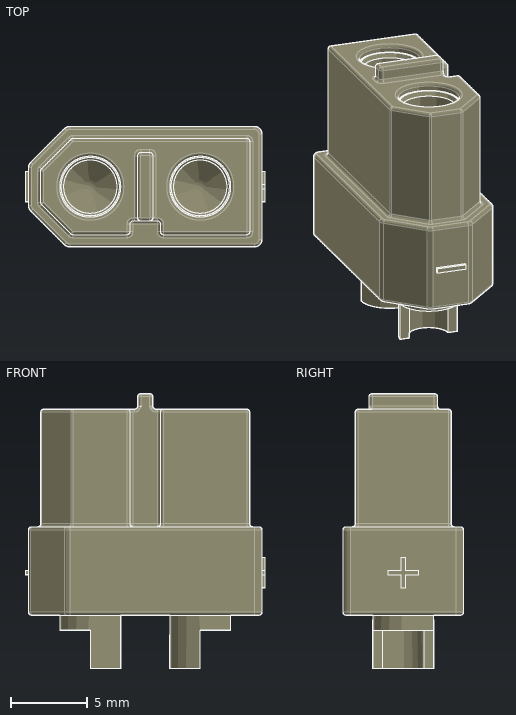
import cadquery as cq
import math

SHOULDER_Z = 2.5
BASE_BOTTOM_Z = 3.5
BASE_TOP_Z = 9.29
TOWER_TOP_Z = 17.0
RIB_TOP_Z = 18.0

BASE_LENGTH = 15.3
BASE_WIDTH = 7.9
BASE_CORNER_CUT = 2.5
TOWER_WIDTH = 6.3
LEDGE = (BASE_WIDTH - TOWER_WIDTH) / 2
TOWER_LENGTH = BASE_LENGTH - 2 * LEDGE
TOWER_CORNER_CUT = BASE_CORNER_CUT - LEDGE * (2 - math.sqrt(2))
BASE_CORNER_RADIUS = 0.5
EDGE_RADIUS = 0.2

RIB_LENGTH = 4.5
RIB_THICKNESS = 1.0
RIB_CORNER_RADIUS = 0.23
SLOT_WIDTH = 2.0
SLOT_BACK_Y = -RIB_LENGTH / 2

CONTACT_SPACING = 7.2
MOUTH_RADIUS = 2.0
MOUTH_DEPTH = 0.5
LEAD_IN_RADIUS = 1.9
LEAD_IN_DEPTH = 0.3
SOCKET_RADIUS = 1.75
SOCKET_FLOOR_Z = BASE_TOP_Z
DRILL_POINT_ANGLE = 118.0
PIN_RADIUS = 2.0
CUP_RADIUS = 1.35

MARK_LENGTH = 2.0
MARK_THICKNESS = 0.3
MARK_HEIGHT = 0.2
MARK_Z = 6.28

GAP = 0.02


def housing_block(length, width, corner_cut, bottom, top):
    """Block with both corners of its -X end cut at 45 degrees."""
    x = length / 2
    y = width / 2
    outline = [
        (x, -y),
        (x, y),
        (corner_cut - x, y),
        (-x, y - corner_cut),
        (-x, corner_cut - y),
        (corner_cut - x, -y),
    ]
    return cq.Workplane("XY").workplane(offset=bottom).polyline(outline).close().extrude(top - bottom)


def box_between(x0, x1, y0, y1, z0, z1):
    return cq.Workplane("XY").box(x1 - x0, y1 - y0, z1 - z0, centered=False).translate((x0, y0, z0))


def make_base():
    base = housing_block(BASE_LENGTH, BASE_WIDTH, BASE_CORNER_CUT, BASE_BOTTOM_Z, BASE_TOP_Z)
    base = base.edges("|Z").fillet(BASE_CORNER_RADIUS)
    return base.faces("<Z or >Z").edges().fillet(EDGE_RADIUS)


def make_rib():
    rib = box_between(
        -RIB_THICKNESS / 2, RIB_THICKNESS / 2, SLOT_BACK_Y, -SLOT_BACK_Y, TOWER_TOP_Z, RIB_TOP_Z
    )
    return rib.edges("|Z").fillet(RIB_CORNER_RADIUS).faces(">Z").edges().fillet(EDGE_RADIUS)


def make_tower():
    """Tower with its key slot and rib; the front of the rib is flush with the slot's back wall."""
    tower = housing_block(TOWER_LENGTH, TOWER_WIDTH, TOWER_CORNER_CUT, BASE_TOP_Z, TOWER_TOP_Z)
    slot = box_between(
        -SLOT_WIDTH / 2, SLOT_WIDTH / 2, -BASE_WIDTH, SLOT_BACK_Y, BASE_TOP_Z, TOWER_TOP_Z
    )
    tower = tower.cut(slot).edges("|Z").fillet(EDGE_RADIUS).union(make_rib())

    around_x = RIB_THICKNESS / 2 + EDGE_RADIUS + GAP
    around_y = -SLOT_BACK_Y + EDGE_RADIUS + GAP
    rib_foot = cq.selectors.BoxSelector(
        (-around_x, SLOT_BACK_Y + GAP, TOWER_TOP_Z - GAP), (around_x, around_y, TOWER_TOP_Z + GAP)
    )
    top_plane = cq.selectors.BoxSelector(
        (-BASE_LENGTH, -BASE_WIDTH, TOWER_TOP_Z - GAP), (BASE_LENGTH, BASE_WIDTH, TOWER_TOP_Z + GAP)
    )
    tower = tower.edges(rib_foot).fillet(EDGE_RADIUS)
    return tower.edges(top_plane - rib_foot).fillet(EDGE_RADIUS)


def make_housing():
    housing = make_base().union(make_tower())
    ledge = housing.faces(cq.selectors.NearestToPointSelector((0, 0, BASE_TOP_Z))).val()
    tower_foot = ledge.innerWires()[0].Edges()
    return cq.Workplane(housing.val().fillet(EDGE_RADIUS, tower_foot))


def make_socket(x):
    """Cavity of one socket: rounded mouth, tapered lead-in, bore and drilled point."""
    mouth_floor_z = TOWER_TOP_Z - MOUTH_DEPTH
    point_depth = SOCKET_RADIUS / math.tan(math.radians(DRILL_POINT_ANGLE / 2))
    half_section = (
        cq.Workplane("XZ")
        .moveTo(0, SOCKET_FLOOR_Z - point_depth)
        .lineTo(SOCKET_RADIUS, SOCKET_FLOOR_Z)
        .lineTo(SOCKET_RADIUS, mouth_floor_z - LEAD_IN_DEPTH)
        .lineTo(LEAD_IN_RADIUS, mouth_floor_z)
        .lineTo(MOUTH_RADIUS, mouth_floor_z)
        .lineTo(MOUTH_RADIUS, TOWER_TOP_Z - EDGE_RADIUS)
        .radiusArc((MOUTH_RADIUS + EDGE_RADIUS, TOWER_TOP_Z), EDGE_RADIUS)
        .lineTo(0, TOWER_TOP_Z)
        .close()
    )
    return half_section.revolve(360, (0, 0, 0), (0, 1, 0)).translate((x, 0, 0))


def make_pin(side):
    """Solder pin at the given side (-1 or 1): its outer half stops at the shoulder."""
    pin = cq.Workplane("XY").circle(PIN_RADIUS).extrude(BASE_BOTTOM_Z)
    cup = cq.Workplane("XY").circle(CUP_RADIUS).extrude(SHOULDER_Z)
    outer_x = side * PIN_RADIUS
    outer_half = box_between(
        min(0, outer_x), max(0, outer_x), -PIN_RADIUS, PIN_RADIUS, 0, SHOULDER_Z
    )
    return pin.cut(cup).cut(outer_half).translate((side * CONTACT_SPACING / 2, 0, 0))


def make_mark(side, length, height):
    """Bar standing MARK_HEIGHT proud of the end of the base at the given side (-1 or 1)."""
    bar = cq.Workplane("XY").box(2 * MARK_HEIGHT, length, height)
    return bar.translate((side * BASE_LENGTH / 2, 0, MARK_Z))


result = make_housing()
for side in (-1, 1):
    result = result.union(make_pin(side)).cut(make_socket(side * CONTACT_SPACING / 2))
    result = result.union(make_mark(side, MARK_LENGTH, MARK_THICKNESS))
result = result.union(make_mark(1, MARK_THICKNESS, MARK_LENGTH))